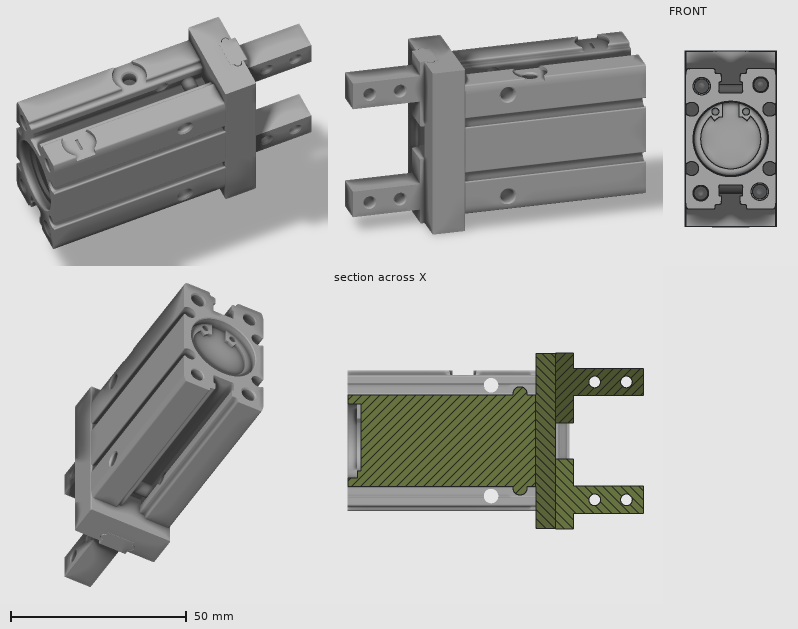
import cadquery as cq


width = 26.0
overall_length = 84.4
overall_height = 50.2
half_width = width / 2

housing_length = 53.6
housing_height = 40.0
half_height = housing_height / 2
edge_round = 0.5
bulge_start = 17.5
bulge_radius = 5.5

mouth_half_width = 4.5
shelf_height = 18.65
neck_half_width = 2.7
undercut_height = 16.3
undercut_half_width = 3.4
slot_floor_height = 13.1

groove_diameter = 4.0
groove_height = 8.4
groove_depth_to_center = 1.85
groove_lip_radius = 0.3

bore_diameter = 21.0
bore_chamfer = 0.25
bore_depth = 2.7
ring_thickness = 1.0
ring_inner_diameter = 17.1
ring_gap_half_width = 2.4
ear_bottom_height = 6.25
ear_flat_end = 3.3
ear_tip = (4.6, 5.15)
ear_root = (5.65, 6.5)
ear_hole_diameter = 2.0
ear_hole_position = (4.4, 7.8)

thread_diameter = 4.1
thread_mouth_diameter = 5.0
thread_position = (-8.3, 15.0)
plain_hole_diameter = 4.0
plain_hole_mouth_diameter = 4.5
plain_hole_position = (8.5, 15.45)
rear_hole_depth = 10.1

cross_hole_height = 15.8
cross_hole_y = 40.9
pin_diameter = 4.1
pin_height = 13.4
pin_y = 49.1

port_x = 7.8
open_port_y = 32.9
plugged_port_y = 10.1
spotface_diameter = 10.0
spotface_side_width = 5.9
port_depth = 3.4
plug_diameter = 5.0
plug_depth = 0.85
driver_slot_length = 4.0
driver_slot_width = 0.85
driver_slot_depth = 0.5

plate_height = 50.05
plate_length = 9.6
plate_chamfer = 0.25
plate_end = housing_length + plate_length
track_diameter = 2.5
track_y = 61.4

finger_half_width = 4.2
finger_back = 59.25
slide_front = 64.5
slide_length = 20.1
slide_chamfer = 0.25
rail_diameter = 2.0
jaw_height = 7.9
jaw_center = 16.8
jaw_hole_diameter = 3.2
jaw_hole_mouth_diameter = 4.0
jaw_hole_places = (70.4, 79.4)


def box_between(x_range, y_range, z_range):
    sizes = [high - low for low, high in (x_range, y_range, z_range)]
    return cq.Workplane("XY").box(*sizes, centered=False).translate((x_range[0], y_range[0], z_range[0]))


def rod(start, direction, diameter, length):
    return cq.Workplane(cq.Solid.makeCylinder(diameter / 2, length, cq.Vector(*start), cq.Vector(*direction)))


def mouth_cone(start, direction, mouth_diameter, hole_diameter):
    """A 45 degree countersink cutter that narrows from the mouth to the hole."""
    depth = (mouth_diameter - hole_diameter) / 2
    return cq.Workplane(
        cq.Solid.makeCone(
            mouth_diameter / 2, hole_diameter / 2, depth, cq.Vector(*start), cq.Vector(*direction)
        )
    )


def countersunk_blind(start, direction, hole_diameter, mouth_diameter, depth):
    hole = rod(start, direction, hole_diameter, depth)
    return hole.union(mouth_cone(start, direction, mouth_diameter, hole_diameter))


def countersunk_through_x(half_length, y, z, hole_diameter, mouth_diameter):
    """A hole along X from -half_length to +half_length, countersunk at both ends."""
    hole = rod((-half_length, y, z), (1, 0, 0), hole_diameter, 2 * half_length)
    for side in (-1, 1):
        end = (side * half_length, y, z)
        hole = hole.union(mouth_cone(end, (-side, 0, 0), mouth_diameter, hole_diameter))
    return hole


def round_four(body, x, z, radius):
    """Rounds the lengthwise edge at (x, z) and its three mirror images."""
    for x_side in (-1, 1):
        for z_side in (-1, 1):
            middle = (x_side * x, housing_length / 2, z_side * z)
            body = body.edges("|Y").edges(cq.selectors.NearestToPointSelector(middle)).fillet(radius)
    return body


def sensor_groove(x_side, z):
    """A round channel whose narrow mouth has lips rounded into the channel and the side."""
    channel_radius = groove_diameter / 2
    channel_x = half_width - groove_depth_to_center
    lip_x = half_width - groove_lip_radius
    center_distance = channel_radius + groove_lip_radius
    lip_rise = (center_distance**2 - (lip_x - channel_x) ** 2) ** 0.5
    tangent_x = channel_x + (lip_x - channel_x) * channel_radius / center_distance
    tangent_rise = lip_rise * channel_radius / center_distance
    throat_rise = lip_rise - groove_lip_radius

    channel = rod((x_side * channel_x, 0, z), (0, 1, 0), groove_diameter, housing_length)
    mouth = (
        cq.Workplane("XZ")
        .moveTo(x_side * tangent_x, z - tangent_rise)
        .threePointArc((x_side * lip_x, z - throat_rise), (x_side * half_width, z - lip_rise))
        .lineTo(x_side * half_width, z + lip_rise)
        .threePointArc((x_side * lip_x, z + throat_rise), (x_side * tangent_x, z + tangent_rise))
        .close()
        .extrude(-housing_length)
    )
    return channel.union(mouth)


def extrusion():
    """The housing profile: bulged corners, stepped slots and sensor grooves."""
    rise = half_height - bulge_start
    corner_x = half_width - (bulge_radius - (bulge_radius**2 - rise**2) ** 0.5)
    body = (
        cq.Workplane("XZ")
        .moveTo(half_width, -bulge_start)
        .lineTo(half_width, bulge_start)
        .radiusArc((corner_x, half_height), -bulge_radius)
        .lineTo(-corner_x, half_height)
        .radiusArc((-half_width, bulge_start), -bulge_radius)
        .lineTo(-half_width, -bulge_start)
        .radiusArc((-corner_x, -half_height), -bulge_radius)
        .lineTo(corner_x, -half_height)
        .radiusArc((half_width, -bulge_start), -bulge_radius)
        .close()
        .extrude(-housing_length)
    )
    along = (0, housing_length)
    steps = (
        (mouth_half_width, shelf_height, half_height),
        (neck_half_width, undercut_height, shelf_height),
        (undercut_half_width, slot_floor_height, undercut_height),
    )
    for half, low, high in steps:
        body = body.cut(box_between((-half, half), along, (low, high)))
        body = body.cut(box_between((-half, half), along, (-high, -low)))

    for x_side in (-1, 1):
        for z_side in (-1, 1):
            body = body.cut(sensor_groove(x_side, z_side * groove_height))

    body = round_four(body, corner_x, half_height, edge_round)
    body = round_four(body, mouth_half_width, half_height, edge_round)
    body = round_four(body, mouth_half_width, shelf_height, edge_round)
    body = round_four(body, neck_half_width, shelf_height, edge_round)
    body = round_four(body, undercut_half_width, undercut_height, edge_round)
    body = round_four(body, undercut_half_width, slot_floor_height, edge_round)
    return body


def ring_opening():
    """The space inside the retaining ring: its round window, less the two ears, plus the gap between them."""
    bore_radius = bore_diameter / 2
    window = cq.Workplane("XZ").circle(ring_inner_diameter / 2).extrude(-ring_thickness)
    for side in (-1, 1):
        ear_outline = (
            (ring_gap_half_width, bore_radius),
            (ring_gap_half_width, ear_bottom_height),
            (ear_flat_end, ear_bottom_height),
            ear_tip,
            ear_root,
            (ear_root[0], bore_radius),
        )
        points = [(side * x, z) for x, z in ear_outline]
        window = window.cut(cq.Workplane("XZ").polyline(points).close().extrude(-ring_thickness))
        hole_x, hole_z = ear_hole_position
        window = window.union(rod((side * hole_x, 0, hole_z), (0, 1, 0), ear_hole_diameter, ring_thickness))
    gap = box_between(
        (-ring_gap_half_width, ring_gap_half_width), (0, ring_thickness), (ear_bottom_height, bore_radius)
    )
    gap = gap.intersect(rod((0, 0, 0), (0, 1, 0), bore_diameter, ring_thickness))
    return window.union(gap)


def cut_rear_face(body):
    bore = countersunk_blind(
        (0, 0, 0), (0, 1, 0), bore_diameter, bore_diameter + 2 * bore_chamfer, bore_depth
    )
    body = body.cut(bore).cut(ring_opening().translate((0, bore_depth, 0)))
    holes = (
        (thread_position, thread_diameter, thread_mouth_diameter),
        (plain_hole_position, plain_hole_diameter, plain_hole_mouth_diameter),
    )
    for (x, z), diameter, mouth_diameter in holes:
        for turn in (-1, 1):
            start = (turn * x, 0, turn * z)
            body = body.cut(countersunk_blind(start, (0, 1, 0), diameter, mouth_diameter, rear_hole_depth))
    return body


def cut_spotface(body, side, y):
    """A round flat at shelf height that also opens through the nearer housing side."""
    x = side * port_x
    levels = (shelf_height, half_height)
    outward = sorted((x, side * half_width))
    half = spotface_side_width / 2
    body = body.cut(rod((x, y, shelf_height), (0, 0, 1), spotface_diameter, half_height - shelf_height))
    return body.cut(box_between(outward, (y - half, y + half), levels))


def make_plug():
    plug = rod((port_x, plugged_port_y, shelf_height), (0, 0, -1), plug_diameter, plug_depth)
    driver_slot = cq.Workplane("XY").box(driver_slot_length, driver_slot_width, 2 * driver_slot_depth)
    return plug.cut(driver_slot.translate((port_x, plugged_port_y, shelf_height)))


def make_housing():
    body = cut_rear_face(extrusion())
    body = cut_spotface(body, -1, open_port_y)
    body = cut_spotface(body, 1, plugged_port_y)
    port_start = (-port_x, open_port_y, shelf_height)
    body = body.cut(
        countersunk_blind(port_start, (0, 0, -1), thread_diameter, thread_mouth_diameter, port_depth)
    )
    plugged_start = (port_x, plugged_port_y, shelf_height)
    body = body.cut(rod(plugged_start, (0, 0, -1), plug_diameter, plug_depth))
    for side in (-1, 1):
        body = body.cut(
            countersunk_through_x(
                half_width, cross_hole_y, side * cross_hole_height, thread_diameter, thread_mouth_diameter
            )
        )
    body = body.union(make_plug(), clean=False)
    for side in (-1, 1):
        pin_start = cq.Workplane("YZ", origin=(-half_width, pin_y, side * pin_height))
        pin = pin_start.circle(pin_diameter / 2).extrude(width)
        body = body.union(pin, clean=False)
    return body


def rails(diameter, length):
    """Two round rails along Z on the sides of a finger, centred on z = 0."""
    pair = cq.Workplane("XY").pushPoints([(side * finger_half_width, track_y) for side in (-1, 1)])
    return pair.circle(diameter / 2).extrude(length / 2, both=True)


def make_plate():
    """The guide plate with the track in which both fingers slide; the track runs over its full height."""
    height_range = (-plate_height / 2, plate_height / 2)
    plate = box_between((-half_width, half_width), (housing_length, plate_end), height_range)
    plate = plate.edges("|Z").chamfer(plate_chamfer)
    track = box_between((-finger_half_width, finger_half_width), (finger_back, plate_end), height_range)
    return plate.cut(track).cut(rails(track_diameter, plate_height))


def make_finger(side):
    """One finger: a slide in the plate and a jaw on it; side is +1 for the upper, -1 for the lower."""
    across = (-finger_half_width, finger_half_width)
    slide_center = overall_height / 2 - slide_length / 2
    slide = box_between(across, (finger_back, slide_front), (-slide_length / 2, slide_length / 2))
    slide = slide.faces(">Y").edges("|X").chamfer(slide_chamfer)
    slide = slide.union(rails(rail_diameter, slide_length)).translate((0, 0, side * slide_center))
    z = side * jaw_center
    jaw = box_between(across, (slide_front, overall_length), (z - jaw_height / 2, z + jaw_height / 2))
    finger = slide.union(jaw)
    for y in jaw_hole_places:
        finger = finger.cut(
            countersunk_through_x(finger_half_width, y, z, jaw_hole_diameter, jaw_hole_mouth_diameter)
        )
    return finger


housing = make_housing()
plate = make_plate()
fingers = [make_finger(side) for side in (1, -1)]

result = cq.Compound.makeCompound([housing.val(), plate.val(), *[finger.val() for finger in fingers]])